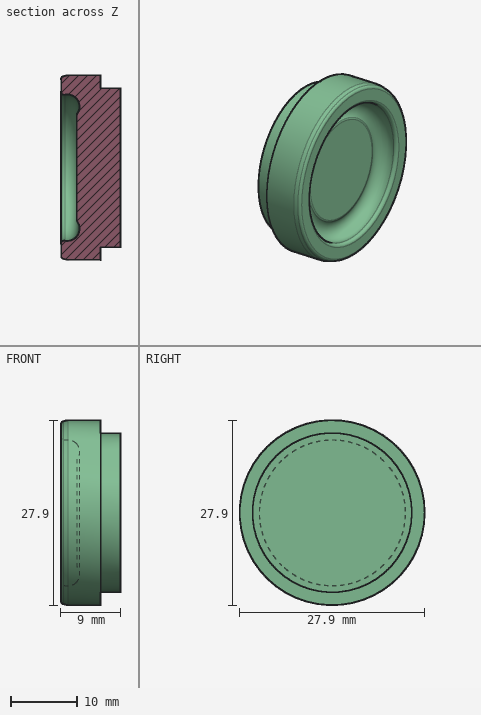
import cadquery as cq
import math

flange_radius = 13.95
flange_length = 6.0
spigot_radius = 12.0
total_length = 9.0

taper_end = 1.0
taper_angle = math.radians(15)
edge_radius = 0.5

disc_depth = 2.37
groove_radius = 1.8
groove_center_x = 0.98
groove_center_r = 9.2


def between(center, other, distance):
    """Point at the given distance from center, in the direction of other."""
    dx = other[0] - center[0]
    dr = other[1] - center[1]
    length = math.hypot(dx, dr)
    return (center[0] + distance * dx / length, center[1] + distance * dr / length)


def arc_middle(center, start, end, radius):
    """Middle of the arc from start to end, shorter than half a turn."""
    chord_middle = ((start[0] + end[0]) / 2, (start[1] + end[1]) / 2)
    return between(center, chord_middle, radius)


def edge_round_center(depth, side):
    """Center of an edge round tangent to a flat at this depth and to the groove."""
    x = depth + edge_radius
    reach = groove_radius + edge_radius
    offset = math.sqrt(reach**2 - (x - groove_center_x)**2)
    return (x, groove_center_r + side * offset)


groove_center = (groove_center_x, groove_center_r)
inner_center = edge_round_center(disc_depth, -1)
outer_center = edge_round_center(0, 1)
disc_edge = (disc_depth, inner_center[1])
groove_inner = between(groove_center, inner_center, groove_radius)
groove_bottom = (groove_center_x + groove_radius, groove_center_r)
groove_outer = between(groove_center, outer_center, groove_radius)
face_inner = (0, outer_center[1])

rim_end_x = edge_radius * (1 - math.sin(taper_angle))
rim_end = (rim_end_x, flange_radius - (taper_end - rim_end_x) * math.tan(taper_angle))
rim_center = (edge_radius, rim_end[1] - edge_radius * math.cos(taper_angle))
face_outer = (0, rim_center[1])

profile = (
    cq.Workplane("XY")
    .moveTo(disc_depth, 0)
    .lineTo(*disc_edge)
    .threePointArc(arc_middle(inner_center, disc_edge, groove_inner, edge_radius), groove_inner)
    .threePointArc(groove_bottom, groove_outer)
    .threePointArc(arc_middle(outer_center, groove_outer, face_inner, edge_radius), face_inner)
    .lineTo(*face_outer)
    .threePointArc(arc_middle(rim_center, face_outer, rim_end, edge_radius), rim_end)
    .lineTo(taper_end, flange_radius)
    .lineTo(flange_length, flange_radius)
    .lineTo(flange_length, spigot_radius)
    .lineTo(total_length, spigot_radius)
    .lineTo(total_length, 0)
    .close()
)
result = profile.revolve(360, (0, 0, 0), (1, 0, 0))